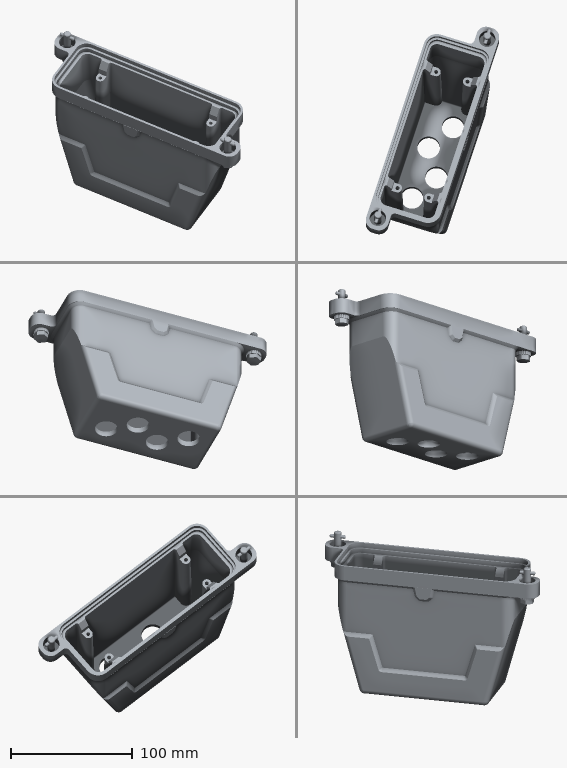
import cadquery as cq
import math

FLANGE_BOTTOM = 98.9
FLANGE_TOP = 111.3
HOUSING_KINK = 75.6
SKIRT_BOTTOM = 96.6
PIN_TOP = 121.95

BODY_LENGTH = 150.8
BODY_WIDTH = 53.2
BODY_CORNER = 9.0
BOTTOM_LENGTH = 108.8
PANEL_WIDTH = 58.0
PANEL_THICK = (PANEL_WIDTH - BODY_WIDTH) / 2
PANEL_BEVEL = 3.1
PANEL_CORNER = 4.2
SHOULDER_FILLET = 1.5
BOTTOM_FILLET = 4.0
END_SLOPE = (BODY_LENGTH - BOTTOM_LENGTH) / 2 / HOUSING_KINK

PANEL_SHOULDER_Z = 52.9
PANEL_SHOULDER_X = 43.8
PANEL_DIP_Z = 24.5
PANEL_DIP_X = 35.2

FLANGE_LENGTH = 156.6
FLANGE_WIDTH = 57.7
FLANGE_CORNER = 11.0
OVERALL_LENGTH = 193.0
LUG_WIDTH = 19.0
LUG_CORNER = 8.0
LUG_INNER_FILLET = 3.5
SKIRT = FLANGE_BOTTOM - SKIRT_BOTTOM
SKIRT_ANGLE = 45

KEY_TOP_HALF = 7.2
KEY_LOW_HALF = 5.5
KEY_BOTTOM_HALF = 2.8
KEY_LOW_Z = 91.2
KEY_BOTTOM_Z = 88.9
KEY_BEVEL_ANGLE = 45

MOUTH_LENGTH = 153.0
MOUTH_WIDTH = 53.8
MOUTH_CORNER = 9.3
LEDGE_Z = 107.2
LEDGE = 0.9
SEAT_LENGTH = MOUTH_LENGTH - 4 * LEDGE
SEAT_WIDTH = MOUTH_WIDTH - 4 * LEDGE
SEAT_CORNER = MOUTH_CORNER - 2 * LEDGE
SEAT_Z = 103.3
CAVITY_LENGTH = 144.0
CAVITY_WIDTH = 46.8
CAVITY_CORNER = 6.0
CAVITY_KINK_LENGTH = 140.4
CAVITY_KINK = 73.0
FLOOR_LENGTH = 104.8
FLOOR_WIDTH = 43.3
FLOOR_Z = 5.0
FLOOR_FILLET = 1.0

POST_X = 52.0
POST_Y = 13.5
POST_WIDTH = 7.0
POST_FLARE = 2.0
POST_DRAFT = 0.97
POST_TOP = 91.5
RAMP_Y = 17.5
RAMP_TOP_Y = 21.8
RAMP_LOW_Z = 97.0
SCREW_HOLE = 3.2
SCREW_HOLE_DEPTH = 12.0

CABLE_COUNT = 4
CABLE_HOLE = 18.6
CABLE_PITCH = 22.5
CABLE_OFFSET = 6.95

PIN_X = 86.4
PIN_Y = 19.5
POCKET_DIAMETER = 13.6
POCKET_FLOOR = 2.4
PIN_DIAMETER = 6.0
PIN_CHAMFER = 0.6
CROSS_PIN_Z = 117.9
CROSS_PIN_DIAMETER = 3.0
CROSS_PIN_LENGTH = 13.2
CROSS_PIN_CHAMFER = 0.6
WASHER_DIAMETER = 12.6
WASHER_BOTTOM = 95.9
KNURL_COUNT = 24
KNURL_DIAMETER = 0.8
HEX_FLATS = 10.1
HEX_BOTTOM = 92.0


def rounded_block(length, width, corner, bottom, top):
    """Upright block centred on Z with rounded vertical edges."""
    block = cq.Workplane("XY").workplane(offset=bottom).rect(length, width).extrude(top - bottom)
    return block.edges("|Z").fillet(corner)


def side_prism(points, width):
    """Prism of an XZ outline, centred on the XZ plane."""
    return cq.Workplane("XZ").polyline(points).close().extrude(width / 2, both=True)


def mirrored_outline(points):
    """Close an XZ half outline with its mirror image across X = 0."""
    return points + [(-x, z) for x, z in reversed(points)]


def make_flange():
    main = rounded_block(FLANGE_LENGTH, FLANGE_WIDTH, FLANGE_CORNER, FLANGE_BOTTOM, FLANGE_TOP)
    lug_length = OVERALL_LENGTH / 2
    lug_y = FLANGE_WIDTH / 2 - LUG_WIDTH / 2
    flange = main
    for side in (-1, 1):
        lug = rounded_block(lug_length, LUG_WIDTH, LUG_CORNER, FLANGE_BOTTOM, FLANGE_TOP)
        flange = flange.union(lug.translate((side * lug_length / 2, -side * lug_y, 0)))
    for side in (-1, 1):
        notch = cq.selectors.NearestToPointSelector((
            side * FLANGE_LENGTH / 2,
            -side * (FLANGE_WIDTH / 2 - LUG_WIDTH),
            (FLANGE_BOTTOM + FLANGE_TOP) / 2,
        ))
        flange = flange.edges("|Z").edges(notch).fillet(LUG_INNER_FILLET)
    return flange


def make_skirt():
    """Slope from the flange underside down to the housing walls."""
    foot = cq.Sketch().rect(BODY_LENGTH, BODY_WIDTH).vertices().fillet(BODY_CORNER)
    skirt = cq.Workplane("XY").workplane(offset=SKIRT_BOTTOM).placeSketch(foot)
    return skirt.extrude(SKIRT, taper=-SKIRT_ANGLE)


def make_upper_body():
    """Narrower housing walls above the panels."""
    body = rounded_block(BODY_LENGTH, BODY_WIDTH, BODY_CORNER, PANEL_SHOULDER_Z, FLANGE_BOTTOM)
    taper = [
        (BOTTOM_LENGTH / 2, 0),
        (BODY_LENGTH / 2, HOUSING_KINK),
        (BODY_LENGTH / 2, FLANGE_BOTTOM),
    ]
    return body.intersect(side_prism(mirrored_outline(taper), PANEL_WIDTH))


def make_panels():
    """Thicker lower part of the housing with its bevelled, dipped upper border."""
    shoulder_half = BOTTOM_LENGTH / 2 + END_SLOPE * PANEL_SHOULDER_Z
    block = side_prism(
        mirrored_outline([(BOTTOM_LENGTH / 2, 0), (shoulder_half, PANEL_SHOULDER_Z)]), PANEL_WIDTH
    )
    block = block.edges("not(|X or |Y)").fillet(PANEL_CORNER)
    block = block.faces("<Z").edges().fillet(BOTTOM_FILLET)

    border = [
        (PANEL_DIP_X, PANEL_DIP_Z),
        (PANEL_SHOULDER_X, PANEL_SHOULDER_Z),
        (BODY_LENGTH, PANEL_SHOULDER_Z),
        (BODY_LENGTH, FLANGE_TOP),
    ]
    bevel_angle = math.degrees(math.atan(PANEL_BEVEL / PANEL_THICK))
    for side in (-1, 1):
        plane = cq.Plane(origin=(0, side * BODY_WIDTH / 2, 0), xDir=(1, 0, 0), normal=(0, -1, 0))
        recess = cq.Workplane(plane).polyline(mirrored_outline(border)).close()
        recess = recess.extrude(-side * PANEL_THICK, taper=-bevel_angle)
        for end in (-1, 1):
            shoulder = cq.selectors.NearestToPointSelector((
                end * (PANEL_SHOULDER_X + PANEL_THICK / 2),
                side * (BODY_WIDTH + PANEL_THICK) / 2,
                PANEL_SHOULDER_Z - PANEL_BEVEL / 2,
            ))
            recess = recess.edges(shoulder).fillet(SHOULDER_FILLET)
        block = block.cut(recess)
    return block


def make_keys():
    """Bevelled bosses under the middle of both long flange sides."""
    outline = mirrored_outline([
        (KEY_BOTTOM_HALF, KEY_BOTTOM_Z),
        (KEY_LOW_HALF, KEY_LOW_Z),
        (KEY_TOP_HALF, FLANGE_BOTTOM),
    ])
    key = cq.Workplane("XZ", origin=(0, -PANEL_WIDTH / 2, 0)).polyline(outline).close()
    key = key.extrude(-PANEL_THICK, taper=-KEY_BEVEL_ANGLE)
    headroom = cq.Workplane("XY").workplane(offset=FLANGE_BOTTOM)
    key = key.cut(headroom.rect(BODY_LENGTH, 2 * PANEL_WIDTH).extrude(FLANGE_TOP))
    return key.union(key.mirror("XZ"))


def make_cavity():
    draft = math.degrees(math.atan((CAVITY_WIDTH - FLOOR_WIDTH) / 2 / (SEAT_Z - FLOOR_Z)))
    pocket = cq.Workplane("XY").workplane(offset=SEAT_Z).rect(CAVITY_LENGTH, CAVITY_WIDTH)
    pocket = pocket.extrude(FLOOR_Z - SEAT_Z, taper=draft)
    profile = [
        (FLOOR_LENGTH / 2, FLOOR_Z),
        (CAVITY_KINK_LENGTH / 2, CAVITY_KINK),
        (CAVITY_LENGTH / 2, SEAT_Z),
    ]
    pocket = pocket.intersect(side_prism(mirrored_outline(profile), PANEL_WIDTH))
    pocket = pocket.edges("not(|X or |Y)").fillet(CAVITY_CORNER)
    return pocket.faces("<Z").edges("|Y").fillet(FLOOR_FILLET)


def make_mouth():
    mouth = rounded_block(MOUTH_LENGTH, MOUTH_WIDTH, MOUTH_CORNER, LEDGE_Z, FLANGE_TOP)
    return mouth.union(rounded_block(SEAT_LENGTH, SEAT_WIDTH, SEAT_CORNER, SEAT_Z, LEDGE_Z))


def make_post(side_x, side_y):
    """Screw post on a long wall, with a ramped rib rising behind it."""
    wall_y = CAVITY_WIDTH / 2
    start_z = FLOOR_Z / 2
    half = POST_WIDTH / 2
    flare = half + POST_FLARE
    flare_middle = POST_FLARE * (1 - math.sqrt(0.5))
    back_y = BODY_WIDTH / 2
    post = (
        cq.Workplane("XY", origin=(0, 0, SEAT_Z))
        .moveTo(-half, POST_Y)
        .threePointArc((0, POST_Y - half), (half, POST_Y))
        .lineTo(half, wall_y - POST_FLARE)
        .threePointArc((half + flare_middle, wall_y - flare_middle), (flare, wall_y))
        .lineTo(flare, back_y)
        .lineTo(-flare, back_y)
        .lineTo(-flare, wall_y)
        .threePointArc((-half - flare_middle, wall_y - flare_middle), (-half, wall_y - POST_FLARE))
        .close()
        .extrude(start_z - SEAT_Z, taper=-POST_DRAFT)
    )
    clearance = (
        cq.Workplane("YZ")
        .polyline([
            (0, POST_TOP),
            (RAMP_Y, POST_TOP),
            (RAMP_Y, RAMP_LOW_Z),
            (RAMP_TOP_Y, SEAT_Z),
            (0, SEAT_Z),
        ])
        .close()
        .extrude(flare, both=True)
    )
    hole = cq.Workplane("XY", origin=(0, POST_Y, POST_TOP)).circle(SCREW_HOLE / 2)
    post = post.cut(clearance).cut(hole.extrude(-SCREW_HOLE_DEPTH))
    if side_y < 0:
        post = post.mirror("XZ")
    return post.translate((side_x * POST_X, 0, 0))


def make_cable_holes():
    """Row of openings, alternating to either side of the centre line."""
    first_x = -(CABLE_COUNT - 1) / 2 * CABLE_PITCH
    places = [(first_x + i * CABLE_PITCH, CABLE_OFFSET * (-1) ** i) for i in range(CABLE_COUNT)]
    return cq.Workplane("XY").pushPoints(places).circle(CABLE_HOLE / 2).extrude(FLOOR_Z)


def make_lug_pocket():
    pocket = cq.Workplane("XY").workplane(offset=FLANGE_BOTTOM + POCKET_FLOOR)
    return pocket.circle(POCKET_DIAMETER / 2).extrude(FLANGE_TOP - FLANGE_BOTTOM)


def make_locking_screw():
    """Pin with cross pin on top, knurled collar and hexagon head below the lug."""
    pin = cq.Workplane("XY").workplane(offset=HEX_BOTTOM).circle(PIN_DIAMETER / 2)
    pin = pin.extrude(PIN_TOP - HEX_BOTTOM).faces(">Z").chamfer(PIN_CHAMFER)
    cross = cq.Workplane("YZ").center(0, CROSS_PIN_Z).circle(CROSS_PIN_DIAMETER / 2)
    cross = cross.extrude(CROSS_PIN_LENGTH / 2, both=True).edges().chamfer(CROSS_PIN_CHAMFER)

    collar_height = FLANGE_BOTTOM - WASHER_BOTTOM
    collar = cq.Workplane("XY").workplane(offset=WASHER_BOTTOM).circle(WASHER_DIAMETER / 2)
    collar = collar.extrude(collar_height)
    grooves = cq.Workplane("XY").workplane(offset=WASHER_BOTTOM)
    grooves = grooves.polarArray(WASHER_DIAMETER / 2, 0, 360, KNURL_COUNT).circle(KNURL_DIAMETER / 2)
    collar = collar.cut(grooves.extrude(collar_height))

    head = cq.Workplane("XY").workplane(offset=HEX_BOTTOM)
    head = head.polygon(6, HEX_FLATS, circumscribed=True).extrude(WASHER_BOTTOM - HEX_BOTTOM)
    return pin.union(cross).union(collar).union(head)


outer = make_upper_body().union(make_panels()).union(make_skirt()).union(make_flange()).union(make_keys())

housing = outer.cut(make_cavity())
for side_x in (-1, 1):
    for side_y in (-1, 1):
        housing = housing.union(make_post(side_x, side_y).intersect(outer))
housing = housing.cut(make_mouth()).cut(make_cable_holes())

for side in (-1, 1):
    place = (side * PIN_X, -side * PIN_Y, 0)
    housing = housing.cut(make_lug_pocket().translate(place))
    housing = housing.union(make_locking_screw().translate(place))

result = housing